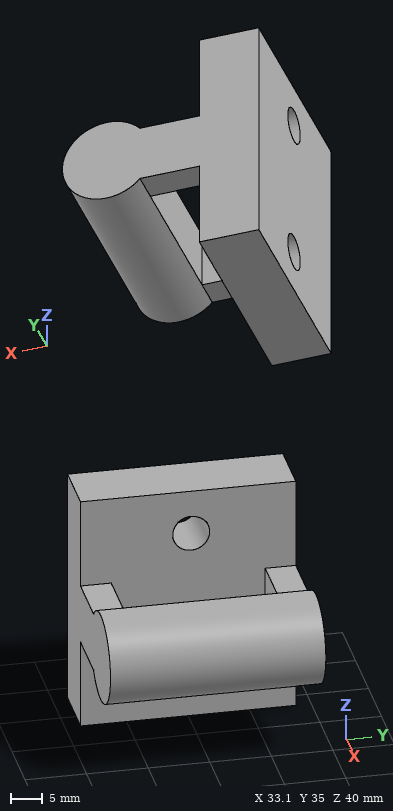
import cadquery as cq
import math

plate_thickness = 10.0
plate_width = 35.0
plate_height = 40.0

hole_diameter = 6.0
hole_spacing = 25.0
hole_offset_y = 0.5

arm_length = 10.0
arm_width = 5.0
arm_height = 10.0

grip_diameter = 15.0
grip_radius = grip_diameter / 2
arm_end_x = plate_thickness + arm_length
grip_x = arm_end_x + math.sqrt(grip_radius**2 - (arm_height / 2) ** 2)


def make_plate():
    plate = cq.Workplane("XY").box(
        plate_thickness, plate_width, plate_height, centered=(False, True, True)
    )
    holes = (
        cq.Workplane("YZ")
        .pushPoints([(hole_offset_y, side * hole_spacing / 2) for side in (-1, 1)])
        .circle(hole_diameter / 2)
        .extrude(plate_thickness)
    )
    return plate.cut(holes)


def make_arm(side):
    """Arm flush with one end of the plate; it ends on the flat of the grip."""
    center_y = side * (plate_width - arm_width) / 2
    return (
        cq.Workplane("XY")
        .box(arm_length, arm_width, arm_height, centered=(False, True, True))
        .translate((plate_thickness, center_y, 0))
    )


def make_grip():
    """Round bar with a flat along its whole length, facing the plate at the arm ends."""
    bar = (
        cq.Workplane("XZ")
        .center(grip_x, 0)
        .circle(grip_radius)
        .extrude(plate_width / 2, both=True)
    )
    beyond_flat = (
        cq.Workplane("XY")
        .box(grip_diameter, plate_width, grip_diameter, centered=(False, True, True))
        .translate((arm_end_x, 0, 0))
    )
    return bar.intersect(beyond_flat)


result = make_plate().union(make_grip())
for side in (-1, 1):
    result = result.union(make_arm(side))